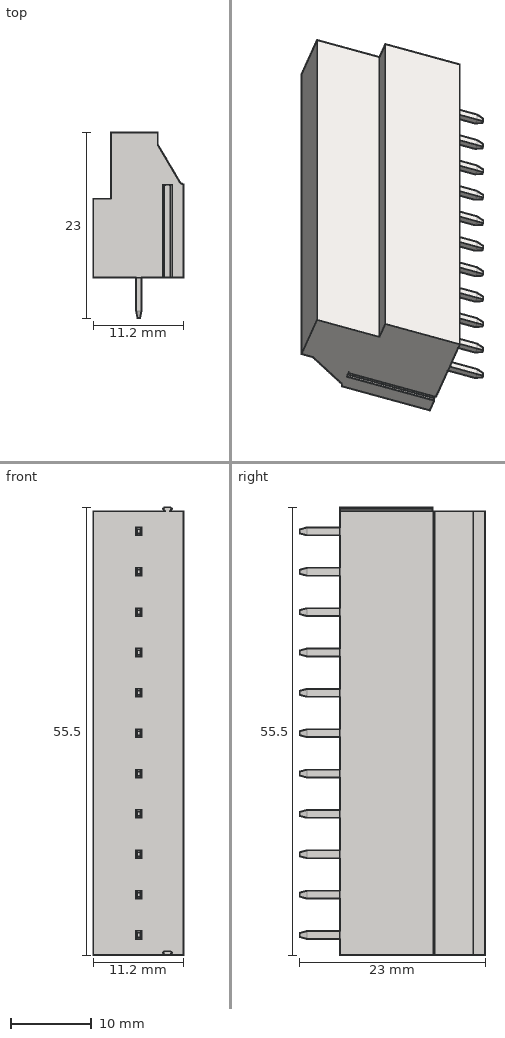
import cadquery as cq

pin_count = 11
pitch = 5.0
body_width = 11.2
body_depth = 18.0
body_length = pin_count * pitch

step_width = 2.2
step_y = 9.8
top_right_x = 8.0
slope_start_y = 16.5
slope_end_y = 11.75
bevel_width = 0.4
bevel_drop = 0.2

key_x = 9.2
key_length = 11.5
key_height = 0.5
key_root_width = 0.6
key_waist_width = 1.15
key_waist_height = 0.3
key_crest_width = 0.75

pin_x = 5.65
pin_width = 0.7
pin_thickness = 1.0
pin_length = 5.0
tip_length = 0.9
tip_width = 0.35
tip_thickness = 0.5


def make_body():
    return (
        cq.Workplane("XY")
        .moveTo(0, 0)
        .lineTo(body_width, 0)
        .lineTo(body_width, slope_end_y - bevel_drop)
        .lineTo(body_width - bevel_width, slope_end_y)
        .lineTo(top_right_x, slope_start_y)
        .lineTo(top_right_x, body_depth)
        .lineTo(step_width, body_depth)
        .lineTo(step_width, step_y)
        .lineTo(0, step_y)
        .close()
        .extrude(body_length)
    )


def make_key(root_z):
    """Hexagonal bar standing on root_z, widest at its waist, running in +Y from the pin face."""
    half_root = key_root_width / 2
    half_waist = key_waist_width / 2
    half_crest = key_crest_width / 2
    waist_z = root_z + key_waist_height
    crest_z = root_z + key_height
    return (
        cq.Workplane("XZ")
        .moveTo(key_x - half_root, root_z)
        .lineTo(key_x + half_root, root_z)
        .lineTo(key_x + half_waist, waist_z)
        .lineTo(key_x + half_crest, crest_z)
        .lineTo(key_x - half_crest, crest_z)
        .lineTo(key_x - half_waist, waist_z)
        .close()
        .extrude(-key_length)
    )


def make_pin(pin_z):
    """Pin pointing in -Y: a straight shank followed by a tapered tip."""
    shank_length = pin_length - tip_length
    shank = (
        cq.Workplane("XZ")
        .center(pin_x, pin_z)
        .rect(pin_width, pin_thickness)
        .extrude(shank_length)
    )
    tip = (
        cq.Workplane("XZ", origin=(0, -shank_length, 0))
        .center(pin_x, pin_z)
        .rect(pin_width, pin_thickness)
        .workplane(offset=tip_length)
        .rect(tip_width, tip_thickness)
        .loft(ruled=True)
    )
    return shank.union(tip)


result = make_body()
result = result.cut(make_key(0))
result = result.union(make_key(body_length))
for pin_index in range(pin_count):
    result = result.union(make_pin((pin_index + 0.5) * pitch))